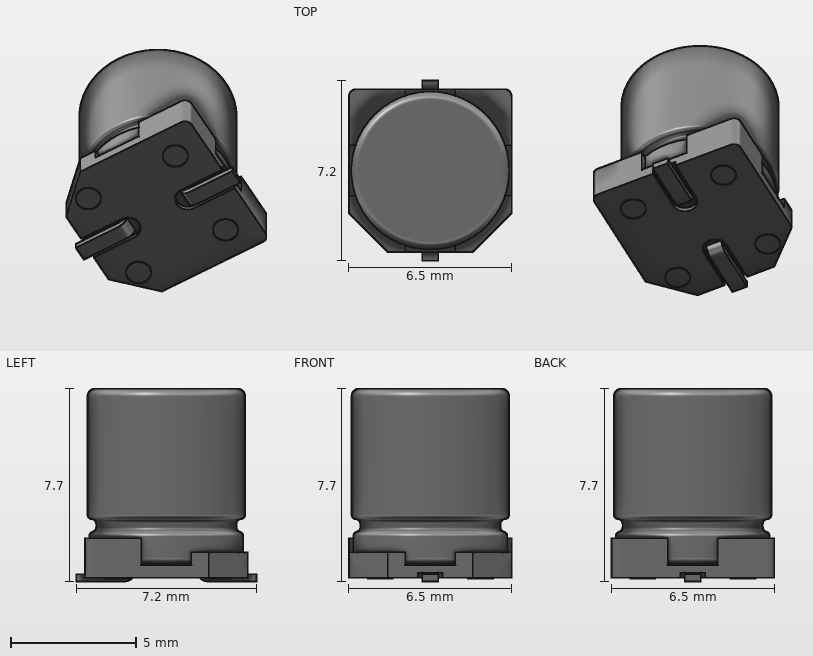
import cadquery as cq
import math

total_height = 7.7

base_size = 6.5
base_bottom_z = 0.15
seat_z = 0.655
low_wall_z = 1.16
high_wall_z = 1.73
corner_chamfer = 1.55
corner_radius = 0.3
notch_width = 2.0
foot_diameter = 1.0
foot_height = 0.03
foot_offset = 2.0
foot_pattern_y = -0.05

can_diameter = 6.3
lower_diameter = 6.15
neck_diameter = 5.605
lower_top_z = 1.8
upper_bottom_z = 2.68
crimp_radius = 0.19
rim_radius = 0.315

lead_span = 7.2
lead_width = 0.65
lead_thickness = 0.3
lead_bend_radius = 0.45
lead_stem_y = 1.225
slot_width = 1.0
slot_depth = 0.21

lead_stem_center_y = lead_stem_y + lead_thickness / 2


def make_lead():
    """L-shaped lead on the +Y side: a foot, a rounded bend and a stem up to the can."""
    toe_y = lead_span / 2
    bend_y = lead_stem_y + lead_bend_radius
    inner_radius = lead_bend_radius - lead_thickness
    cos45 = math.cos(math.radians(45))
    outer_mid = (bend_y - lead_bend_radius * cos45, lead_bend_radius * (1 - cos45))
    inner_mid = (bend_y - inner_radius * cos45, lead_bend_radius - inner_radius * cos45)
    return (
        cq.Workplane("YZ")
        .moveTo(toe_y, 0)
        .lineTo(bend_y, 0)
        .threePointArc(outer_mid, (lead_stem_y, lead_bend_radius))
        .lineTo(lead_stem_y, seat_z)
        .lineTo(lead_stem_y + lead_thickness, seat_z)
        .lineTo(lead_stem_y + lead_thickness, lead_bend_radius)
        .threePointArc(inner_mid, (bend_y, lead_thickness))
        .lineTo(toe_y, lead_thickness)
        .close()
        .extrude(lead_width / 2, both=True)
    )


def make_leads():
    lead = make_lead()
    return [lead, lead.mirror("XZ")]


def crimp_height(depth):
    """Height of an S-curve of two equal tangent arcs that moves inward by depth."""
    return 2 * math.sqrt(crimp_radius**2 - (crimp_radius - depth / 2) ** 2)


def make_can():
    can_radius = can_diameter / 2
    lower_radius = lower_diameter / 2
    neck_radius = neck_diameter / 2

    lower_depth = lower_radius - neck_radius
    lower_height = crimp_height(lower_depth)
    neck_bottom_z = lower_top_z + lower_height
    lower_mid = (lower_radius - lower_depth / 2, lower_top_z + lower_height / 2)

    upper_depth = can_radius - neck_radius
    upper_height = crimp_height(upper_depth)
    neck_top_z = upper_bottom_z - upper_height
    upper_mid = (can_radius - upper_depth / 2, upper_bottom_z - upper_height / 2)

    can = (
        cq.Workplane("XZ")
        .moveTo(0, seat_z)
        .lineTo(lower_radius, seat_z)
        .lineTo(lower_radius, lower_top_z)
        .tangentArcPoint(lower_mid, relative=False)
        .tangentArcPoint((neck_radius, neck_bottom_z), relative=False)
        .lineTo(neck_radius, neck_top_z)
        .tangentArcPoint(upper_mid, relative=False)
        .tangentArcPoint((can_radius, upper_bottom_z), relative=False)
        .lineTo(can_radius, total_height)
        .lineTo(0, total_height)
        .close()
        .revolve(360, (0, 0, 0), (0, 1, 0))
    )
    return can.faces("<Z or >Z").edges().fillet(rim_radius)


def make_capacitor():
    capacitor = make_can()
    for lead in make_leads():
        capacitor = capacitor.union(lead)
    return capacitor


def block(width, depth, bottom_z, top_z):
    return cq.Workplane("XY", origin=(0, 0, bottom_z)).rect(width, depth).extrude(top_z - bottom_z)


def base_blank():
    """Plate with walls that are higher on the +Y half."""
    half = base_size / 2
    blank = block(base_size, base_size, base_bottom_z, high_wall_z)
    blank = blank.edges("|Z and <Y").chamfer(corner_chamfer)
    blank = blank.edges("|Z and >Y").fillet(corner_radius)
    low_half = block(base_size, half, low_wall_z, high_wall_z).translate((0, -half / 2, 0))
    return blank.cut(low_half)


def wall_openings():
    """Round recess for the can and a notch through the middle of each wall."""
    recess = (
        cq.Workplane("XY", origin=(0, 0, seat_z))
        .circle(lower_diameter / 2)
        .extrude(high_wall_z - seat_z)
    )
    notch_along_x = block(base_size, notch_width, seat_z, high_wall_z)
    notch_along_y = block(notch_width, base_size, seat_z, high_wall_z)
    return recess.union(notch_along_x).union(notch_along_y)


def lead_slot():
    """Slot under the +Y edge, open outward, with a round end about the lead stem."""
    edge_y = base_size / 2
    slot_end = (0, lead_stem_center_y - slot_width / 2)
    return (
        cq.Workplane("XY", origin=(0, 0, base_bottom_z))
        .moveTo(slot_width / 2, edge_y)
        .lineTo(slot_width / 2, lead_stem_center_y)
        .threePointArc(slot_end, (-slot_width / 2, lead_stem_center_y))
        .lineTo(-slot_width / 2, edge_y)
        .close()
        .extrude(slot_depth)
    )


def make_base():
    base = base_blank().cut(wall_openings())
    slot = lead_slot()
    for slot_copy in (slot, slot.mirror("XZ")):
        base = base.cut(slot_copy)
    for lead in make_leads():
        base = base.cut(lead)
    feet = (
        cq.Workplane("XY", origin=(0, 0, base_bottom_z))
        .center(0, foot_pattern_y)
        .rect(2 * foot_offset, 2 * foot_offset, forConstruction=True)
        .vertices()
        .circle(foot_diameter / 2)
        .extrude(-foot_height)
    )
    return base.union(feet)


base = make_base()
capacitor = make_capacitor()

result = cq.Compound.makeCompound([base.val(), capacitor.val()])